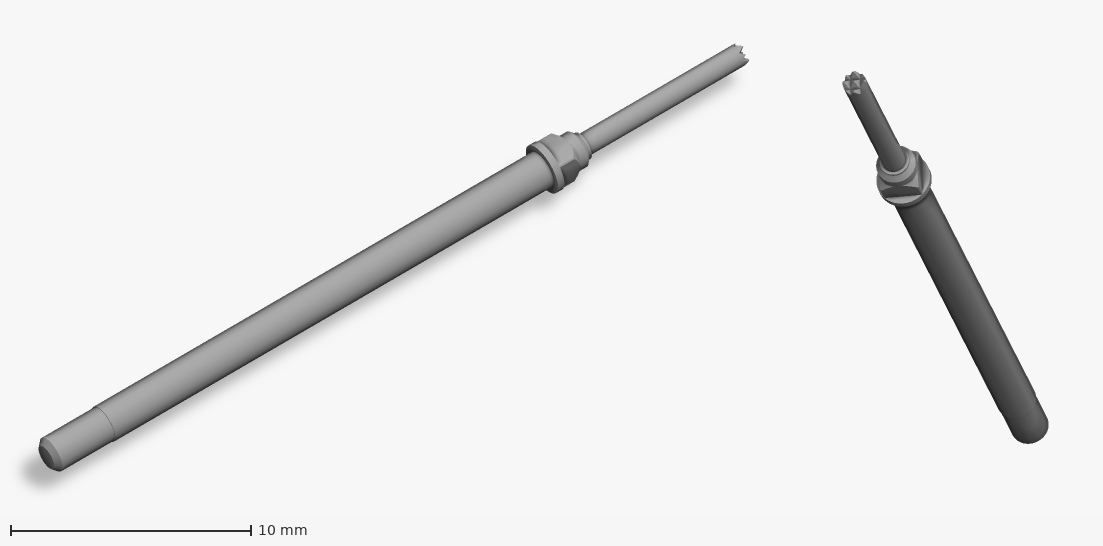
import cadquery as cq
import math

length = 35.8
body_diameter = 1.7
tail_diameter = 1.6
tail_length = 2.95
tail_chamfer = 0.25
collar_diameter = 2.3
collar_thickness = 0.32
collar_front = 25.78

square_width = 1.65
square_corner_diameter = 2.25
square_length = 1.05
square_cone_length = 0.3
neck_diameter = 1.7
nose_cone_start = 27.25
nose_diameter = 1.25
nose_rim_length = 0.1
nose_end = 27.55

plunger_diameter = 1.0
tooth_pitch = 0.43
tooth_angle = 60.0
groove_count = 4
groove_depth = tooth_pitch / 2 / math.tan(math.radians(tooth_angle / 2))

collar_rear = collar_front - collar_thickness
square_end = collar_front + square_length


def make_turned_body():
    """Revolve everything that is round, from the tail to the plunger."""
    tail_radius = tail_diameter / 2
    body_radius = body_diameter / 2
    collar_radius = collar_diameter / 2
    corner_radius = square_corner_diameter / 2
    neck_radius = neck_diameter / 2
    nose_radius = nose_diameter / 2
    plunger_radius = plunger_diameter / 2
    cone_start = square_end - square_cone_length
    half_profile = [
        (0, 0),
        (tail_radius - tail_chamfer, 0),
        (tail_radius, tail_chamfer),
        (tail_radius, tail_length),
        (body_radius, tail_length),
        (body_radius, collar_rear),
        (collar_radius, collar_rear),
        (collar_radius, collar_front),
        (corner_radius, collar_front),
        (corner_radius, cone_start),
        (neck_radius, square_end),
        (neck_radius, nose_cone_start),
        (nose_radius, nose_end - nose_rim_length),
        (nose_radius, nose_end),
        (plunger_radius, nose_end),
        (plunger_radius, length),
        (0, length),
    ]
    return cq.Workplane("XY").polyline(half_profile).close().revolve(360, (0, 0, 0), (0, 1, 0))


def make_square_cutter():
    """Ring that trims the stretch ahead of the collar down to a square."""
    middle = collar_front + square_length / 2
    blank = cq.Workplane("XY").box(2 * collar_diameter, square_length, 2 * collar_diameter)
    square = cq.Workplane("XY").box(square_width, square_length, square_width)
    return blank.cut(square).translate((0, middle, 0))


def make_tip_groove(offset):
    """V-groove along Z, cut into the tip at the given X offset."""
    return (
        cq.Workplane("XY")
        .polyline([
            (offset - tooth_pitch / 2, length),
            (offset, length - groove_depth),
            (offset + tooth_pitch / 2, length),
        ])
        .close()
        .extrude(plunger_diameter, both=True)
    )


result = make_turned_body().cut(make_square_cutter())

for index in range(groove_count):
    groove = make_tip_groove((index - (groove_count - 1) / 2) * tooth_pitch)
    result = result.cut(groove)
    result = result.cut(groove.rotate((0, 0, 0), (0, 1, 0), 90))